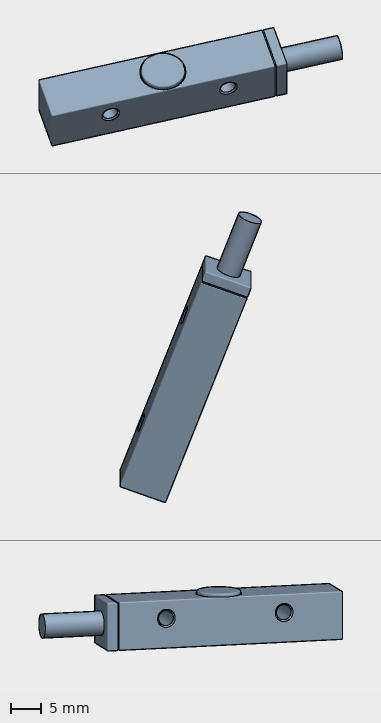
import cadquery as cq

body_width = 8.0
body_height = 8.0
body_length = 40.0
edge_radius = 0.2

cap_length = 1.8
groove_width = 0.2
groove_depth = 0.15
housing_length = body_length - cap_length - groove_width

cable_diameter = 4.0
cable_length = 10.0

button_diameter = 7.2
button_height = 0.5
button_rounding = 0.25
button_gap = 0.15
button_gap_depth = 0.25
button_y = body_length / 2

hole_diameter = 2.5
hole_chamfer = 0.25
hole_spacing = 20.0
hole_y_first = 10.0
hole_z = 5.0


def rounded_block(length, y_start):
    """Square block along Y with all its edges rounded."""
    block = cq.Workplane("XY").box(body_width, length, body_height, centered=(True, False, False))
    return block.edges().fillet(edge_radius).translate((0, y_start, 0))


def groove_core():
    """Narrower neck at the groove, reaching into the housing and the cap."""
    overlap = 0.5
    return (
        cq.Workplane("XY")
        .box(
            body_width - 2 * groove_depth,
            groove_width + 2 * overlap,
            body_height - 2 * groove_depth,
            centered=(True, False, True),
        )
        .translate((0, housing_length - overlap, body_height / 2))
    )


def cable():
    """Round cable along the body axis, starting at the rear face."""
    return (
        cq.Workplane("XZ", origin=(0, body_length, body_height / 2))
        .circle(cable_diameter / 2)
        .extrude(-cable_length)
    )


def button():
    """Disc on the top face with a rounded upper rim."""
    return (
        cq.Workplane("XY", origin=(0, button_y, body_height))
        .circle(button_diameter / 2)
        .extrude(button_height)
        .faces(">Z")
        .edges()
        .fillet(button_rounding)
    )


def button_clearance():
    """Cutter for the narrow ring-shaped groove in the top face around the button."""
    return (
        cq.Workplane("XY", origin=(0, button_y, body_height))
        .circle(button_diameter / 2 + button_gap)
        .circle(button_diameter / 2)
        .extrude(-button_gap_depth)
    )


def cross_hole(y):
    """Cutter for a through hole along X, widened by a chamfer at each side face."""
    half_width = body_width / 2
    radius = hole_diameter / 2
    mouth_radius = radius + hole_chamfer
    profile = [
        (-half_width, 0),
        (-half_width, mouth_radius),
        (-half_width + hole_chamfer, radius),
        (half_width - hole_chamfer, radius),
        (half_width, mouth_radius),
        (half_width, 0),
    ]
    cutter = cq.Workplane("XY").polyline(profile).close().revolve(360, (0, 0, 0), (1, 0, 0))
    return cutter.translate((0, y, hole_z))


housing = rounded_block(housing_length, 0)
end_cap = rounded_block(cap_length, housing_length + groove_width)
result = housing.union(groove_core()).union(end_cap).union(cable()).union(button())

result = result.cut(button_clearance())
for hole_y in (hole_y_first, hole_y_first + hole_spacing):
    result = result.cut(cross_hole(hole_y))